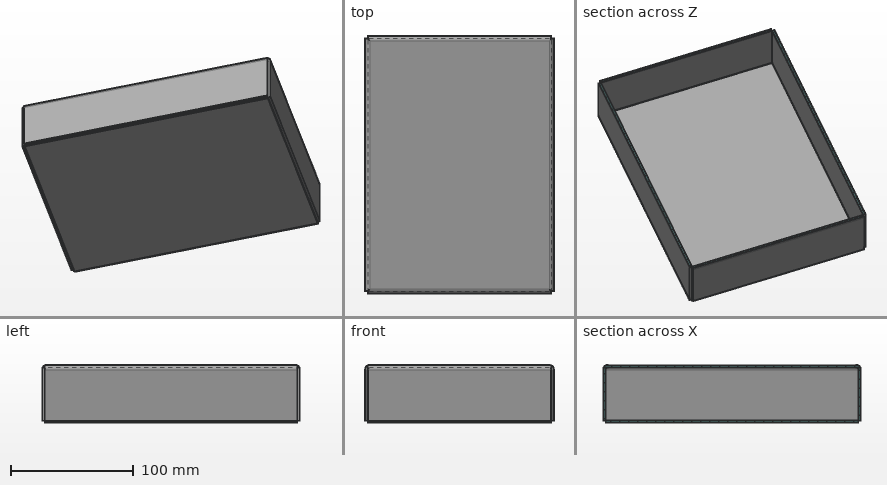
import cadquery as cq

length_x = 154.0
length_y = 210.0
height = 47.0
sheet = 2.0
bend_inner_radius = 1.9
bend_outer_radius = bend_inner_radius + sheet
corner_relief_x = 2.3
corner_relief_y = 2.0
base_drop = 1.5
base_thickness = sheet

wall_height = height - base_drop


def rounded_block(size_x, size_y, size_z, radius):
    """Block on the plane of the wall edges, with mitred rounds along its top edges."""
    block = cq.Workplane("XY", origin=(0, 0, base_drop)).box(
        size_x, size_y, size_z, centered=(True, True, False)
    )
    along_y = block.edges("|Y and >Z").fillet(radius)
    along_x = block.edges("|X and >Z").fillet(radius)
    return along_y.intersect(along_x)


def folded_sheet():
    """Top and walls, open below, with the vertical corners cut away."""
    outside = rounded_block(length_x, length_y, wall_height, bend_outer_radius)
    cavity = rounded_block(
        length_x - 2 * sheet, length_y - 2 * sheet, wall_height - sheet, bend_inner_radius
    )
    corners = (
        cq.Workplane("XY")
        .rect(length_x, length_y, forConstruction=True)
        .vertices()
        .rect(2 * corner_relief_x, 2 * corner_relief_y)
        .extrude(height)
    )
    return outside.cut(cavity).cut(corners)


def base_plate():
    """Flat floor fitted between the walls and standing out below their edges."""
    return cq.Workplane("XY").box(
        length_x - 2 * sheet, length_y - 2 * sheet, base_thickness,
        centered=(True, True, False),
    )


result = folded_sheet().union(base_plate())